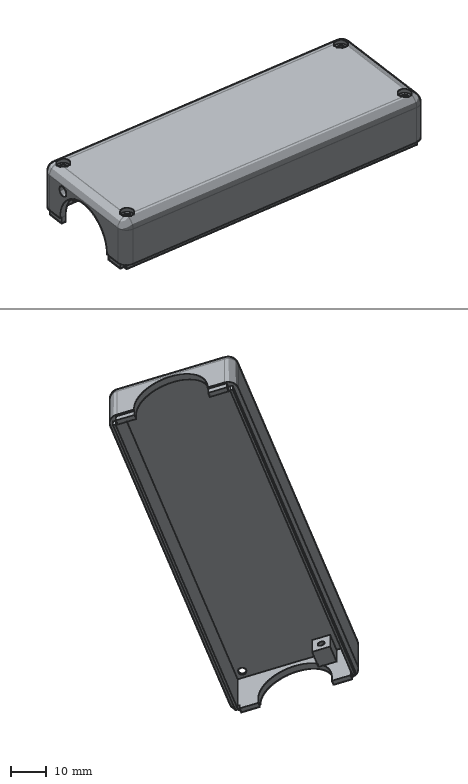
import cadquery as cq

LENGTH = 105.0
WIDTH = 38.0
HEIGHT = 17.0

EDGE_RADIUS = 3.0
WALL = 2.0
CAVITY_LENGTH = LENGTH - 2 * WALL
CAVITY_WIDTH = WIDTH - 2 * WALL
CEILING_Z = HEIGHT - WALL

LIP_HEIGHT = 2.0
LIP_SIDE_INSET = 1.3
LIP_END_INSET = 0.5
LIP_CORNER_NOTCH = 1.3
LIP_WIDTH = WIDTH - 2 * LIP_SIDE_INSET
LIP_LENGTH = LENGTH - 2 * LIP_END_INSET

ARCH_RADIUS = 10.9
ARCH_CENTER_Z = 2.2

SCREW_INSET = 4.1
SCREW_SPACING_X = WIDTH - 2 * SCREW_INSET
SCREW_SPACING_Y = LENGTH - 2 * SCREW_INSET
SCREW_DIAMETER = 2.3
SCREW_HEAD_DIAMETER = 4.0
SCREW_HEAD_DEPTH = 1.4

PORT_X = -9.7
PORT_Z = 11.9
PORT_DIAMETER = 2.0
PORT_MOUTH_DIAMETER = 3.2
PORT_MOUTH_DEPTH = WALL
PORT_BLOCK_SIZE = 5.4
PORT_BLOCK_BOTTOM = 9.0


def box_on(width, length, bottom, top):
    """Box centred on the Z axis, reaching from bottom to top."""
    return (
        cq.Workplane("XY")
        .workplane(offset=bottom)
        .rect(width, length)
        .extrude(top - bottom)
    )


def shell_body():
    """Rounded outer body standing on the notched lip, before hollowing."""
    body = box_on(WIDTH, LENGTH, LIP_HEIGHT, HEIGHT)
    body = body.edges("|Z or >Z").fillet(EDGE_RADIUS)
    side_lip = box_on(LIP_WIDTH, LIP_LENGTH - 2 * LIP_CORNER_NOTCH, 0, LIP_HEIGHT)
    end_lip = box_on(LIP_WIDTH - 2 * LIP_CORNER_NOTCH, LIP_LENGTH, 0, LIP_HEIGHT)
    return body.union(side_lip.union(end_lip))


def screw_points(bottom):
    """Workplane at the given height with a point on each screw axis."""
    return (
        cq.Workplane("XY")
        .workplane(offset=bottom)
        .rect(SCREW_SPACING_X, SCREW_SPACING_Y, forConstruction=True)
        .vertices()
    )


def cavity():
    """Inner space, leaving the port block standing."""
    block = (
        box_on(PORT_BLOCK_SIZE, PORT_BLOCK_SIZE, PORT_BLOCK_BOTTOM, HEIGHT)
        .translate((PORT_X, (PORT_BLOCK_SIZE - CAVITY_LENGTH) / 2, 0))
    )
    return box_on(CAVITY_WIDTH, CAVITY_LENGTH, 0, CEILING_Z).cut(block)


def arch_cutter(start_y):
    """Round-topped opening through the end wall that begins at start_y."""
    return (
        cq.Workplane("XZ", origin=(0, start_y + WALL, 0))
        .moveTo(-ARCH_RADIUS, 0)
        .lineTo(-ARCH_RADIUS, ARCH_CENTER_Z)
        .threePointArc((0, ARCH_CENTER_Z + ARCH_RADIUS), (ARCH_RADIUS, ARCH_CENTER_Z))
        .lineTo(ARCH_RADIUS, 0)
        .close()
        .extrude(WALL)
    )


def screw_holes():
    """Through holes with flat-bottomed head recesses in the top face."""
    holes = screw_points(0).circle(SCREW_DIAMETER / 2).extrude(HEIGHT)
    heads = (
        screw_points(HEIGHT - SCREW_HEAD_DEPTH)
        .circle(SCREW_HEAD_DIAMETER / 2)
        .extrude(SCREW_HEAD_DEPTH)
    )
    return holes.union(heads)


def port_hole():
    """Stepped hole running inward from the -Y face through its block."""
    face = cq.Workplane("XZ", origin=(PORT_X, -LENGTH / 2, PORT_Z))
    bore = face.circle(PORT_DIAMETER / 2).extrude(-(WALL + PORT_BLOCK_SIZE))
    mouth = face.circle(PORT_MOUTH_DIAMETER / 2).extrude(-PORT_MOUTH_DEPTH)
    return bore.union(mouth)


result = (
    shell_body()
    .cut(cavity())
    .cut(arch_cutter(-LENGTH / 2))
    .cut(arch_cutter(LENGTH / 2 - WALL))
    .cut(screw_holes())
    .cut(port_hole())
)